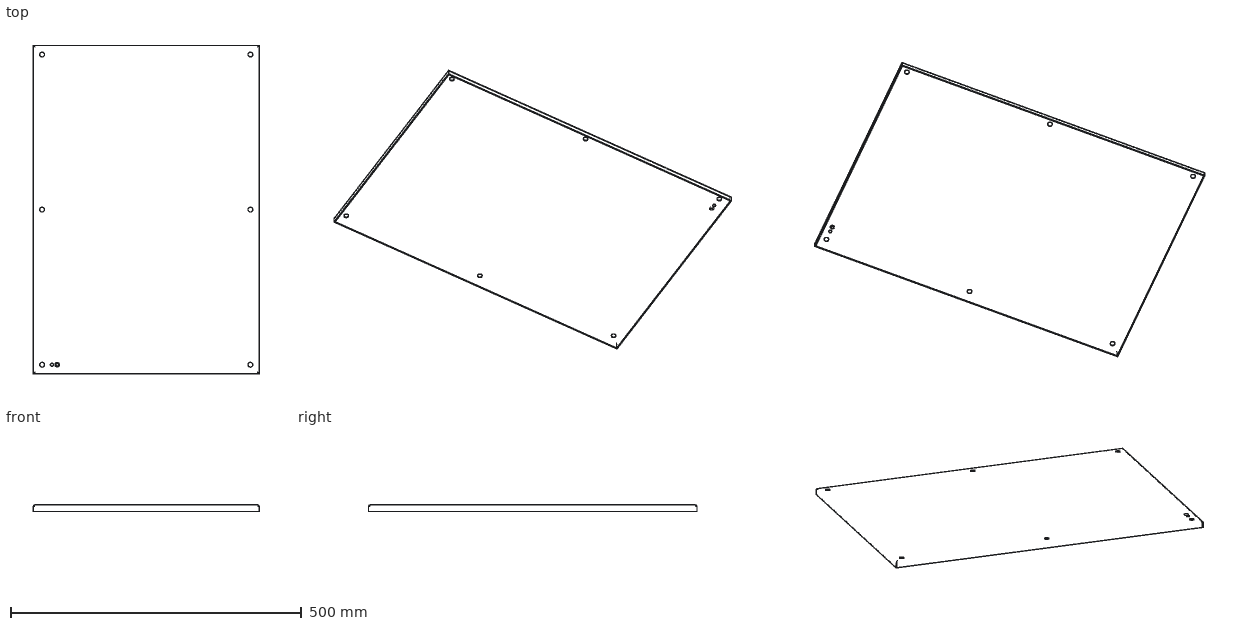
import cadquery as cq

width = 389.0
length = 565.0
height = 12.0
sheet = 2.0
bend_radius = 4.0
inner_radius = 0.5

mount_diameter = 8.0
mount_spacing_x = 358.0
mount_spacing_y = 533.5

pilot_diameter = 5.0
pilot_x = -162.0
countersink_diameter = 8.0
countersink_bore = 4.0
countersink_x = -153.0

front_row_y = -mount_spacing_y / 2


def rounded_block(size_x, size_y, size_z, radius):
    """Block standing on Z = 0 with its four upper edges rounded."""
    block = cq.Workplane("XY").box(size_x, size_y, size_z, centered=(True, True, False))
    return block.faces(">Z").edges().fillet(radius)


def make_tray():
    """Flat panel with a rounded bend down to a flange on each side."""
    outside = rounded_block(width, length, height, bend_radius)
    inside = rounded_block(width - 2 * sheet, length - 2 * sheet, height - sheet, inner_radius)
    return outside.cut(inside)


def through_holes(points, diameter):
    """Cylinders that reach right through the panel."""
    return cq.Workplane("XY").pushPoints(points).circle(diameter / 2).extrude(height)


def countersink(x, y):
    """Cone that narrows from the top face to the bore at the underside of the panel."""
    base = cq.Vector(x, y, height - sheet)
    cone = cq.Solid.makeCone(countersink_bore / 2, countersink_diameter / 2, sheet, base)
    return cq.Workplane(cone)


mount_points = [
    (column * mount_spacing_x / 2, row * mount_spacing_y / 2)
    for column in (-1, 1)
    for row in (-1, 0, 1)
]

result = make_tray()
result = result.cut(through_holes(mount_points, mount_diameter))
result = result.cut(through_holes([(pilot_x, front_row_y)], pilot_diameter))
result = result.cut(countersink(countersink_x, front_row_y))